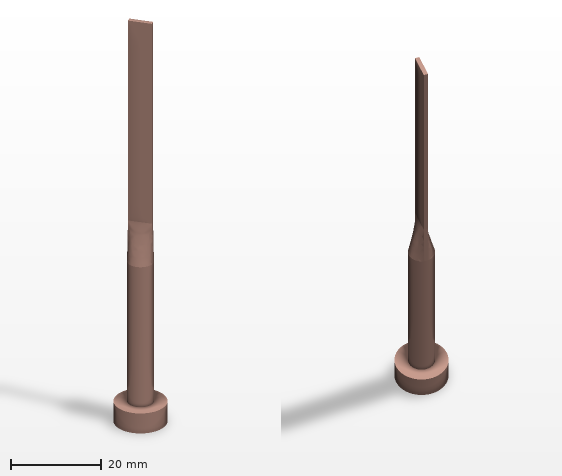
import cadquery as cq

total_length = 100.0
head_diameter = 12.0
head_height = 5.0
shank_diameter = 6.0
blade_length = 50.0
blade_width = 5.5
blade_thickness = 1.0
taper_length = 10.0

shank_radius = shank_diameter / 2
blade_base = total_length - blade_length
taper_base = blade_base - taper_length
shank_length = taper_base - head_height

head = cq.Workplane("XY").circle(head_diameter / 2).extrude(head_height)
shank = (
    cq.Workplane("XY")
    .workplane(offset=head_height)
    .circle(shank_radius)
    .extrude(shank_length)
)

taper = (
    cq.Workplane("XY")
    .workplane(offset=taper_base)
    .circle(shank_radius)
    .workplane(offset=taper_length)
    .rect(blade_width, blade_thickness)
    .loft(ruled=True, combine=True)
)

blade = (
    cq.Workplane("XY")
    .workplane(offset=blade_base)
    .rect(blade_width, blade_thickness)
    .extrude(blade_length)
)

result = head.union(shank).union(taper).union(blade)